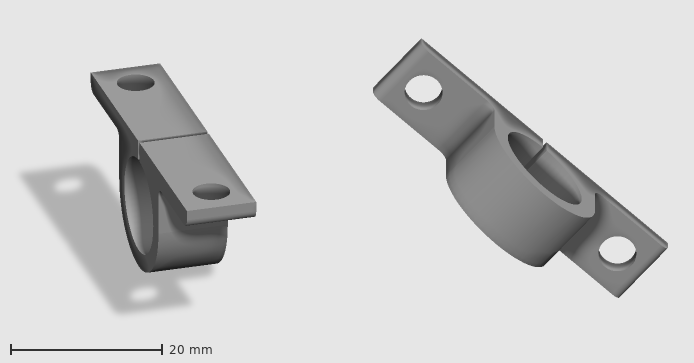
import cadquery as cq

length = 44.0
width = 9.6
height = 18.35

ring_radius = 9.0
bore_radius = 6.6
top_z = height - ring_radius

flange_thickness = 2.65
corner_radius = 1.28
split_width = 0.65
hole_diameter = 5.0
hole_spacing = 34.6

half_length = length / 2
flange_bottom_z = top_z - flange_thickness


def clamp_body():
    """Flange and U-shaped ring in one outline, extruded evenly about the XZ plane."""
    outline = (
        cq.Workplane("XZ")
        .moveTo(-half_length, top_z)
        .lineTo(half_length, top_z)
        .lineTo(half_length, flange_bottom_z)
        .lineTo(ring_radius, flange_bottom_z)
        .lineTo(ring_radius, 0)
        .threePointArc((0, -ring_radius), (-ring_radius, 0))
        .lineTo(-ring_radius, flange_bottom_z)
        .lineTo(-half_length, flange_bottom_z)
        .close()
    )
    return outline.extrude(width / 2, both=True)


def round_flange_corners(body):
    """Round the lower flange ends and the inner corners where the flange meets the ring."""
    corner_points = [
        (side * x, 0, flange_bottom_z)
        for side in (-1, 1)
        for x in (ring_radius, half_length)
    ]
    for point in corner_points:
        body = body.edges("|Y").edges(cq.selectors.NearestToPointSelector(point)).fillet(corner_radius)
    return body


def cut_bore_and_split(body):
    """Cut the bore along Y and open it to the top face with a narrow split."""
    bore = cq.Workplane("XZ").circle(bore_radius).extrude(width, both=True)
    split = cq.Workplane("XY").box(split_width, width, top_z, centered=(True, True, False))
    return body.cut(bore).cut(split)


def cut_mounting_holes(body):
    """Drill one vertical through hole near each flange end."""
    holes = (
        cq.Workplane("XY", origin=(0, 0, flange_bottom_z))
        .pushPoints([(-hole_spacing / 2, 0), (hole_spacing / 2, 0)])
        .circle(hole_diameter / 2)
        .extrude(flange_thickness)
    )
    return body.cut(holes)


result = cut_mounting_holes(cut_bore_and_split(round_flange_corners(clamp_body())))